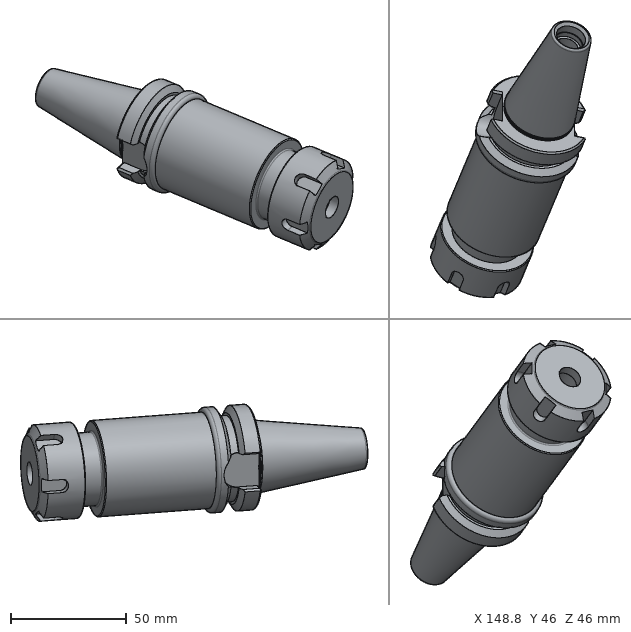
import cadquery as cq
import math

LENGTH = 148.8

TAPER_START_DIA = 18.0
TAPER_END_DIA = 32.0
TAPER_RATIO = 7 / 24
TAPER_TIP_LENGTH = 0.9
TAPER_TIP_DIA = 16.0
TAPER_END = TAPER_TIP_LENGTH + (TAPER_END_DIA - TAPER_START_DIA) / TAPER_RATIO

COLLAR_DIA = 31.5
RELIEF_DIA = 30.5
RELIEF_START = 49.4
RELIEF_END = 50.0

FLANGE_DIA = 46.0
FLANGE_START = 50.6
FLANGE_FRONT_CHAMFER = 0.7
FRONT_LAND_END = 58.0
GROOVE_START = 60.0
GROOVE_END = 63.7
GROOVE_DIA = 37.5
GROOVE_LIP_DIA = 39.9
REAR_LAND_START = 65.8
FLANGE_END = 70.8
FLANGE_REAR_FILLET = 1.8

KEY_SLOT_WIDTH = 15.8
KEY_SLOT_END = 67.9
KEY_SLOT_FLOOR = 16.2
KEY_SLOT_CHAMFER = 0.9

BODY_DIA = 42.0
BODY_END = 120.2
BODY_EDGE_CHAMFER = 0.5
NECK_DIA = 32.0
NECK_ROOT_FILLET = 0.6
NECK_END = 144.3

BORE_DIA = 10.1
STEP_DIA = 12.5
STEP_DEPTH = 7.5
ENTRY_DIA = 13.1
ENTRY_DEPTH = 5.0
COUNTERSINK_DIA = 15.8
COUNTERSINK_DEPTH = 1.2

NUT_DIA = BODY_DIA
NUT_START = 129.0
NUT_EDGE_CHAMFER = 0.5
NUT_CONE_START = 145.8
NUT_CONE_END_DIA = 33.8
NUT_CONE_SLOPE = 58
WRENCH_SLOT_COUNT = 6
WRENCH_SLOT_WIDTH = 6.0
WRENCH_SLOT_START = 136.7
WRENCH_SLOT_FLOOR = 17.5


def revolve_about_x(profile):
    """Turn a closed outline, drawn as (x, radius), into a solid of revolution about X."""
    return profile.close().revolve(360, (0, 0, 0), (1, 0, 0))


def holder_blank():
    """Solid turned shape of the taper, flange, body and neck."""
    arc_share = 1 - math.sqrt(0.5)
    tip_height = (TAPER_START_DIA - TAPER_TIP_DIA) / 2
    tip_mid = (TAPER_TIP_LENGTH * arc_share, TAPER_START_DIA / 2 - tip_height * arc_share)
    flange_radius = FLANGE_DIA / 2
    fillet_start = (FLANGE_END - FLANGE_REAR_FILLET, flange_radius)
    fillet_mid = (
        FLANGE_END - FLANGE_REAR_FILLET * arc_share,
        flange_radius - FLANGE_REAR_FILLET * arc_share,
    )
    fillet_end = (FLANGE_END, flange_radius - FLANGE_REAR_FILLET)
    root_setback = NECK_ROOT_FILLET * arc_share
    root_mid = (BODY_END + root_setback, NECK_DIA / 2 + root_setback)
    profile = (
        cq.Workplane("XY")
        .moveTo(0, 0)
        .lineTo(0, TAPER_TIP_DIA / 2)
        .threePointArc(tip_mid, (TAPER_TIP_LENGTH, TAPER_START_DIA / 2))
        .lineTo(TAPER_END, TAPER_END_DIA / 2)
        .lineTo(TAPER_END, COLLAR_DIA / 2)
        .lineTo(RELIEF_START, COLLAR_DIA / 2)
        .lineTo(RELIEF_START, RELIEF_DIA / 2)
        .lineTo(RELIEF_END, RELIEF_DIA / 2)
        .lineTo(RELIEF_END, COLLAR_DIA / 2)
        .lineTo(FLANGE_START, COLLAR_DIA / 2)
        .lineTo(FLANGE_START, flange_radius - FLANGE_FRONT_CHAMFER)
        .lineTo(FLANGE_START + FLANGE_FRONT_CHAMFER, flange_radius)
        .lineTo(FRONT_LAND_END, flange_radius)
        .lineTo(GROOVE_START, GROOVE_LIP_DIA / 2)
        .lineTo(GROOVE_START, GROOVE_DIA / 2)
        .lineTo(GROOVE_END, GROOVE_DIA / 2)
        .lineTo(GROOVE_END, GROOVE_LIP_DIA / 2)
        .lineTo(REAR_LAND_START, flange_radius)
        .lineTo(*fillet_start)
        .threePointArc(fillet_mid, fillet_end)
        .lineTo(FLANGE_END, BODY_DIA / 2)
        .lineTo(BODY_END - BODY_EDGE_CHAMFER, BODY_DIA / 2)
        .lineTo(BODY_END, BODY_DIA / 2 - BODY_EDGE_CHAMFER)
        .lineTo(BODY_END, NECK_DIA / 2 + NECK_ROOT_FILLET)
        .threePointArc(root_mid, (BODY_END + NECK_ROOT_FILLET, NECK_DIA / 2))
        .lineTo(NECK_END, NECK_DIA / 2)
        .lineTo(NECK_END, 0)
    )
    return revolve_about_x(profile)


def holder_bore():
    """Countersunk, stepped bore that runs through the whole holder."""
    profile = (
        cq.Workplane("XY")
        .moveTo(0, 0)
        .lineTo(0, COUNTERSINK_DIA / 2)
        .lineTo(COUNTERSINK_DEPTH, ENTRY_DIA / 2)
        .lineTo(ENTRY_DEPTH, ENTRY_DIA / 2)
        .lineTo(ENTRY_DEPTH, STEP_DIA / 2)
        .lineTo(STEP_DEPTH, STEP_DIA / 2)
        .lineTo(STEP_DEPTH, BORE_DIA / 2)
        .lineTo(NECK_END, BORE_DIA / 2)
        .lineTo(NECK_END, 0)
    )
    return revolve_about_x(profile)


def key_slot(side):
    """Round-ended key slot on one side (-1 or +1 along Y), with its chamfered mouth."""
    half_width = KEY_SLOT_WIDTH / 2
    round_centre = KEY_SLOT_END - half_width
    depth = FLANGE_DIA / 2 - KEY_SLOT_FLOOR
    slot = (
        cq.Workplane("XZ", origin=(0, -KEY_SLOT_FLOOR, 0))
        .moveTo(FLANGE_START, half_width)
        .lineTo(round_centre, half_width)
        .threePointArc((KEY_SLOT_END, 0), (round_centre, -half_width))
        .lineTo(FLANGE_START, -half_width)
        .close()
        .extrude(depth)
    )
    front_bevel = (
        cq.Workplane("XZ", origin=(0, -KEY_SLOT_FLOOR, 0))
        .moveTo(FLANGE_START, half_width + KEY_SLOT_CHAMFER)
        .lineTo(FLANGE_START + KEY_SLOT_CHAMFER, half_width)
        .lineTo(FLANGE_START + KEY_SLOT_CHAMFER, -half_width)
        .lineTo(FLANGE_START, -half_width - KEY_SLOT_CHAMFER)
        .close()
        .extrude(depth)
    )
    rim_half_width = half_width + KEY_SLOT_CHAMFER
    rim_depth = math.sqrt((FLANGE_DIA / 2) ** 2 - rim_half_width**2)
    bevel_depth = rim_depth - KEY_SLOT_CHAMFER
    rim_bevel = (
        cq.Workplane("YZ", origin=(FLANGE_START, 0, 0))
        .moveTo(-bevel_depth, half_width)
        .lineTo(-rim_depth, rim_half_width)
        .lineTo(-FLANGE_DIA / 2, rim_half_width)
        .lineTo(-FLANGE_DIA / 2, -rim_half_width)
        .lineTo(-rim_depth, -rim_half_width)
        .lineTo(-bevel_depth, -half_width)
        .close()
        .extrude(GROOVE_START - FLANGE_START)
    )
    cutter = slot.union(front_bevel).union(rim_bevel)
    return cutter if side < 0 else cutter.mirror("XZ")


def make_holder():
    """Taper, flange, body and neck in one piece."""
    holder = holder_blank().cut(holder_bore())
    for side in (-1, 1):
        holder = holder.cut(key_slot(side))
    return holder


def nut_blank():
    """Turned nut with a blind recess that fits over the neck and a through bore."""
    cone_length = (NUT_DIA - NUT_CONE_END_DIA) / 2 / math.tan(math.radians(NUT_CONE_SLOPE))
    cone_end = NUT_CONE_START + cone_length
    face_chamfer_length = LENGTH - cone_end
    profile = (
        cq.Workplane("XY")
        .moveTo(NUT_START, NECK_DIA / 2)
        .lineTo(NUT_START, NUT_DIA / 2 - NUT_EDGE_CHAMFER)
        .lineTo(NUT_START + NUT_EDGE_CHAMFER, NUT_DIA / 2)
        .lineTo(NUT_CONE_START, NUT_DIA / 2)
        .lineTo(cone_end, NUT_CONE_END_DIA / 2)
        .lineTo(LENGTH, NUT_CONE_END_DIA / 2 - face_chamfer_length)
        .lineTo(LENGTH, BORE_DIA / 2)
        .lineTo(NECK_END, BORE_DIA / 2)
        .lineTo(NECK_END, NECK_DIA / 2)
    )
    return revolve_about_x(profile)


def wrench_slot(angle):
    """Flat-floored, round-ended slot, open at the nut face, turned about X by the angle."""
    half_width = WRENCH_SLOT_WIDTH / 2
    round_centre = WRENCH_SLOT_START + half_width
    return (
        cq.Workplane("XZ", origin=(0, -WRENCH_SLOT_FLOOR, 0))
        .moveTo(LENGTH, half_width)
        .lineTo(round_centre, half_width)
        .threePointArc((WRENCH_SLOT_START, 0), (round_centre, -half_width))
        .lineTo(LENGTH, -half_width)
        .close()
        .extrude(NUT_DIA / 2 - WRENCH_SLOT_FLOOR)
        .rotate((0, 0, 0), (1, 0, 0), angle)
    )


def make_nut():
    """Clamping nut with its ring of wrench slots."""
    nut = nut_blank()
    for index in range(WRENCH_SLOT_COUNT):
        nut = nut.cut(wrench_slot(index * 360 / WRENCH_SLOT_COUNT))
    return nut


holder = make_holder()
nut = make_nut()

result = cq.Compound.makeCompound([holder.val(), nut.val()])